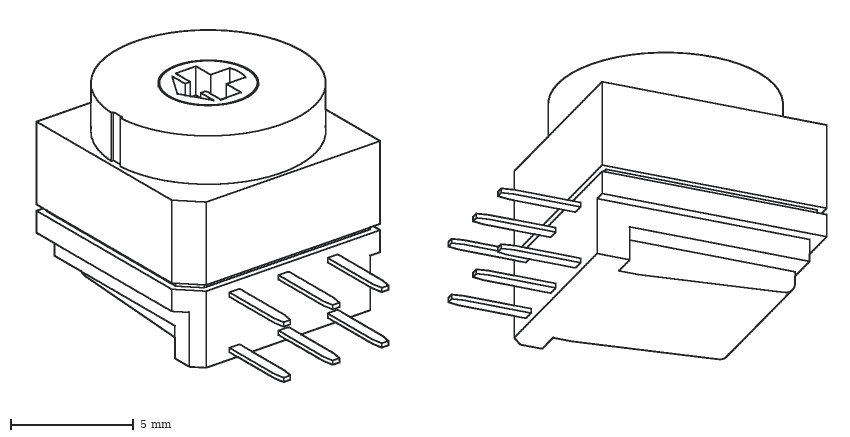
import cadquery as cq
import math


overall_length = 13.5
overall_height = 9.8
body_side = 10.0
half_side = body_side / 2
corner_chamfer = 1.0

body_top = 7.59
groove_top = 3.8
groove_bottom = 3.51
plate_bottom = 2.5
step_bottom = 1.5

groove_inset = 0.3
step_inset_side = 0.51
step_inset_back = 0.54
foot_length = 1.46
pad_inset_back = 0.7
pad_width = 6.75
pad_flat_start = 7.7
pad_back_height = 0.5
pad_edge_radius = 0.51

dial_diameter = 9.6
notch_width = 0.6
notch_depth = 0.12
ring_outer_diameter = 4.1
ring_inner_diameter = 4.0
ring_depth = 0.5

arm_width = 1.05
cross_length = 3.0
upper_arm_radius = 1.6
arrow_tip = 1.6
arrow_base = 0.8
arrow_half_width = 1.39
cross_depth = 1.32
arrow_depth = 0.88

pin_pitch = 2.54
pin_columns = 3
pin_rows = 2
lowest_pin_height = 0.45
pin_width = 0.53
pin_thickness = 0.2
pin_tip_width = 0.35
pin_taper_length = 0.5
pin_embed = 0.27


def slab(bottom, top):
    """Square housing layer with the chamfered corner at +X, -Y."""
    return (
        cq.Workplane("XY")
        .workplane(offset=bottom)
        .rect(body_side, body_side)
        .extrude(top - bottom)
        .edges("|Z and >X and <Y")
        .chamfer(corner_chamfer)
    )


def block(x_start, x_end, width, bottom, top):
    """Box centred on the XZ plane."""
    return (
        cq.Workplane("XY")
        .box(x_end - x_start, width, top - bottom, centered=(False, True, False))
        .translate((x_start, 0, bottom))
    )


def make_neck():
    """Recessed layer between body and plate, following their outline."""
    profile = slab(groove_bottom, groove_top).faces("<Z").wires().val()
    inner = profile.offset2D(-groove_inset)[0]
    return (
        cq.Workplane("XY")
        .add(inner)
        .toPending()
        .extrude(groove_top - groove_bottom)
    )


def make_base():
    """Stepped layer and terminal foot, trimmed by the housing outline."""
    width = body_side - 2 * step_inset_side
    step = block(-half_side + step_inset_back, half_side, width, step_bottom, plate_bottom)
    foot = block(half_side - foot_length, half_side, width, 0, step_bottom)
    return step.union(foot).intersect(slab(0, plate_bottom))


def make_pad():
    """Central pad with a sloping underside and a rounded back edge."""
    back = -half_side + pad_inset_back
    return (
        cq.Workplane("XZ")
        .moveTo(back, step_bottom)
        .lineTo(back, pad_back_height)
        .lineTo(-half_side + pad_flat_start, 0)
        .lineTo(half_side - foot_length, 0)
        .lineTo(half_side - foot_length, step_bottom)
        .close()
        .extrude(pad_width / 2, both=True)
        .edges(cq.selectors.NearestToPointSelector((back, 0, pad_back_height)))
        .fillet(pad_edge_radius)
    )


def make_recess():
    """Cross with a pointed lower arm, flanked by shallower arrowhead corners."""
    top_plane = cq.Workplane("XY").workplane(offset=overall_height)
    half_arm = arm_width / 2
    arc_end = math.sqrt(upper_arm_radius**2 - half_arm**2)
    arrow_slope = (arrow_tip - arrow_base) / arrow_half_width
    point_start = arrow_tip - arrow_slope * half_arm

    cross_bar = top_plane.rect(cross_length, arm_width).extrude(-cross_depth)
    pointed_upright = (
        top_plane.moveTo(-half_arm, -point_start)
        .lineTo(0, -arrow_tip)
        .lineTo(half_arm, -point_start)
        .lineTo(half_arm, arc_end)
        .threePointArc((0, upper_arm_radius), (-half_arm, arc_end))
        .close()
        .extrude(-cross_depth)
    )
    arrowhead = (
        top_plane.moveTo(-arrow_half_width, -arrow_base)
        .lineTo(0, -arrow_tip)
        .lineTo(arrow_half_width, -arrow_base)
        .close()
        .extrude(-arrow_depth)
    )
    return cross_bar.union(pointed_upright).union(arrowhead)


def make_dial():
    """Dial with index notch, ring groove and screwdriver recess."""
    dial_height = overall_height - body_top
    dial = cq.Workplane("XY").workplane(offset=body_top).circle(dial_diameter / 2).extrude(dial_height)
    notch = (
        cq.Workplane("XY")
        .workplane(offset=body_top)
        .center(0, -dial_diameter / 2)
        .rect(notch_width, 2 * notch_depth)
        .extrude(dial_height)
    )
    ring = (
        cq.Workplane("XY")
        .workplane(offset=overall_height)
        .circle(ring_outer_diameter / 2)
        .circle(ring_inner_diameter / 2)
        .extrude(-ring_depth)
    )
    return dial.cut(notch).cut(ring).cut(make_recess())


def make_pin(y, z):
    """Flat terminal pin along +X with a tapered tip, centred at y and z."""
    tip = overall_length - half_side
    return (
        cq.Workplane("XY")
        .moveTo(half_side - pin_embed, -pin_width / 2)
        .lineTo(tip - pin_taper_length, -pin_width / 2)
        .lineTo(tip, -pin_tip_width / 2)
        .lineTo(tip, pin_tip_width / 2)
        .lineTo(tip - pin_taper_length, pin_width / 2)
        .lineTo(half_side - pin_embed, pin_width / 2)
        .close()
        .extrude(pin_thickness / 2, both=True)
        .translate((0, y, z))
    )


result = (
    slab(groove_top, body_top)
    .union(make_neck())
    .union(slab(plate_bottom, groove_bottom))
    .union(make_base())
    .union(make_pad())
    .union(make_dial())
)
for column in range(pin_columns):
    pin_y = (column - (pin_columns - 1) / 2) * pin_pitch
    for row in range(pin_rows):
        result = result.union(make_pin(pin_y, lowest_pin_height + row * pin_pitch))